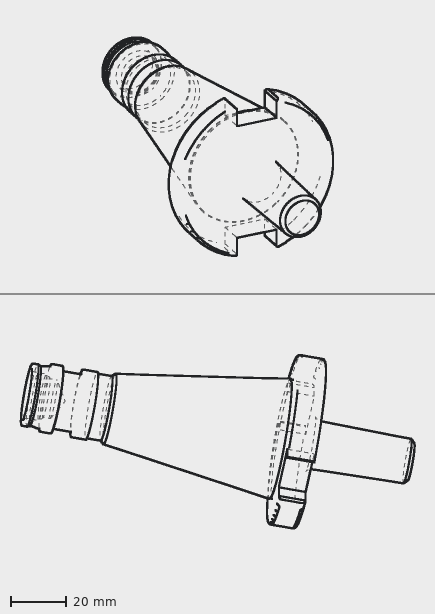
import cadquery as cq
import math


length = 142.4

nose_radius = 11.5
nose_round = 0.5
nose_land_end = 2.1
nose_waist_radius = 11.1
nose_waist_start = 3.1
nose_waist_end = 4.1
nose_shoulder = 5.8
collar_radius = 12.5
front_collar_start = 7.0
front_collar_end = 11.2
groove_radius = 10.7
rear_collar_start = 18.5
rear_collar_end = 24.0
step_round = 0.4
neck_radius = 12.0
neck_chamfer_start = 29.5

taper_slope = 7 / 24 / 2
gauge_radius = 22.2
gauge_plane = 93.4
relief_radius = 22.0
relief_round = 0.4
taper_land = 0.4
taper_start = 30.8
taper_start_radius = gauge_radius - taper_slope * (gauge_plane - taper_start)

flange_radius = 31.3
flange_start = 95.0
flange_thickness = 10.0
flange_end = flange_start + flange_thickness
flange_round = 1.1

slot_width = 16.0
slot_floor = 22.5
slot_chamfer = 0.9

spindle_root_radius = 9.0
spindle_tip_radius = 8.3
spindle_root_fillet = 2.0
spindle_tip_chamfer = 1.4

counterbore_radius = 8.5
counterbore_depth = 5.8
mouth_round = 1.5
hole_radius = 7.1
hole_depth = 10.0
drill_point_angle = 118.0


def step_up(profile, x, low_radius, high_radius):
    """Wall facing the nose, with a round at its foot and one at its crest."""
    return (
        profile.lineTo(x - step_round, low_radius)
        .radiusArc((x, low_radius + step_round), -step_round)
        .lineTo(x, high_radius - step_round)
        .radiusArc((x + step_round, high_radius), step_round)
    )


def step_down(profile, x, high_radius, low_radius):
    """Wall facing the spindle, with a round at its crest and one at its foot."""
    return (
        profile.lineTo(x - step_round, high_radius)
        .radiusArc((x, high_radius - step_round), step_round)
        .lineTo(x, low_radius + step_round)
        .radiusArc((x + step_round, low_radius), -step_round)
    )


def nose_and_collars(profile):
    """Outline from the nose face to the start of the taper."""
    neck_round = collar_radius - neck_radius
    profile = (
        profile.lineTo(0, nose_radius - nose_round)
        .radiusArc((nose_round, nose_radius), nose_round)
        .lineTo(nose_land_end, nose_radius)
        .lineTo(nose_waist_start, nose_waist_radius)
        .lineTo(nose_waist_end, nose_waist_radius)
        .lineTo(nose_shoulder, nose_radius)
    )
    profile = step_up(profile, front_collar_start, nose_radius, collar_radius)
    profile = step_down(profile, front_collar_end, collar_radius, groove_radius)
    profile = step_up(profile, rear_collar_start, groove_radius, collar_radius)
    return (
        profile.lineTo(rear_collar_end, collar_radius)
        .radiusArc((rear_collar_end + neck_round, neck_radius), -neck_round)
        .lineTo(neck_chamfer_start, neck_radius)
        .lineTo(taper_start, taper_start_radius)
    )


def make_body():
    fillet_end = flange_end + spindle_root_fillet
    profile = nose_and_collars(cq.Workplane("XZ"))
    profile = (
        profile.lineTo(gauge_plane, gauge_radius)
        .lineTo(gauge_plane + taper_land, gauge_radius)
        .lineTo(gauge_plane + taper_land, relief_radius)
        .lineTo(flange_start - relief_round, relief_radius)
        .radiusArc((flange_start, relief_radius + relief_round), -relief_round)
        .lineTo(flange_start, flange_radius - flange_round)
        .radiusArc((flange_start + flange_round, flange_radius), flange_round)
        .lineTo(flange_end - flange_round, flange_radius)
        .radiusArc((flange_end, flange_radius - flange_round), flange_round)
        .lineTo(flange_end, spindle_root_radius + spindle_root_fillet)
        .radiusArc((fillet_end, spindle_root_radius), -spindle_root_fillet)
        .lineTo(length - spindle_tip_chamfer, spindle_tip_radius)
        .lineTo(length, spindle_tip_radius - spindle_tip_chamfer)
        .lineTo(length, 0)
        .close()
    )
    return profile.revolve(360, (0, 0, 0), (1, 0, 0))


def make_hole():
    seat_round = (counterbore_radius - hole_radius) / 2
    point_length = hole_radius / math.tan(math.radians(drill_point_angle / 2))
    profile = (
        cq.Workplane("XZ")
        .lineTo(0, counterbore_radius + mouth_round)
        .radiusArc((mouth_round, counterbore_radius), -mouth_round)
        .lineTo(counterbore_depth, counterbore_radius)
        .radiusArc((counterbore_depth + seat_round, counterbore_radius - seat_round), -seat_round)
        .radiusArc((counterbore_depth + 2 * seat_round, hole_radius), seat_round)
        .lineTo(hole_depth, hole_radius)
        .lineTo(hole_depth + point_length, 0)
        .close()
    )
    return profile.revolve(360, (0, 0, 0), (1, 0, 0))


def make_slot():
    """Upper drive slot, its top corners flared at 45 degrees to the rim."""
    half = slot_width / 2
    rim_half = half + slot_chamfer
    rim_height = math.sqrt(flange_radius**2 - rim_half**2)
    flare = flange_radius - rim_height + slot_chamfer
    right_side = [
        (half, slot_floor),
        (half, rim_height - slot_chamfer),
        (half + flare, flange_radius),
    ]
    left_side = [(-y, z) for y, z in reversed(right_side)]
    return (
        cq.Workplane("YZ", origin=(flange_start, 0, 0))
        .polyline(right_side + left_side)
        .close()
        .extrude(flange_thickness)
    )


slot = make_slot()
result = make_body().cut(make_hole())
for slot_angle in (0, 180):
    result = result.cut(slot.rotate((0, 0, 0), (1, 0, 0), slot_angle))